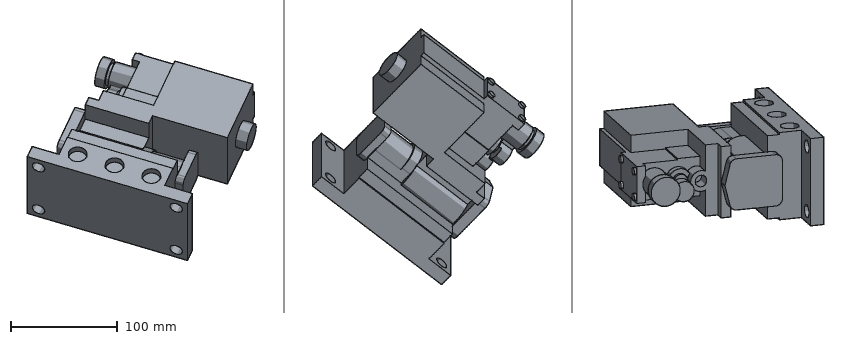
import cadquery as cq


base_length = 160.3
base_width = 86.0
flange_height = 13.0
body_x0 = 27.0
body_x1 = 132.5
body_top = 34.8
step_top = 46.6
step_width = 82.0
mount_hole_diameter = 12.4
mount_hole_inset = 11.3
mount_hole_spacing_z = 63.5
port_diameter = 17.5
port_depth = 6.5
port_pitch = 36.9
port_middle_x = 80.1
port_y = 19.0

valve_x1 = 90.5
spool_radius = 22.0
spool_y = 50.8
web_width = 26.8
saddle_y0 = 82.8
saddle_y1 = 92.3
head_width = 70.2
head_x0 = 36.9
head_top = 104.7

spring_radius = 17.8
collar_x1 = 100.5
collar_axis_y = 59.1
spring_axis_y = 57.2
end_plate_x1 = 140.7
end_plate_y0 = 40.6
end_plate_y1 = 80.7
end_plate_width = 39.5
end_plate_corner = 6.0

cover_x0 = 16.2
cover_y0 = 35.5
cover_shoulder_y = 86.0
cover_width = 50.5
cover_corner = 6.5

coil_x0 = 87.2
coil_x1 = 165.4
coil_y0 = 92.7
coil_y1 = 161.1
strip_top = 165.2
cable_radius = 13.0
cable_x1 = 176.5
pilot_axis_y = 127.0

pilot_x0 = 51.9
pilot_width = 36.2
pilot_top = 169.8
pilot_foot_width = 38.8
lip_x0 = 44.7
screw_radius = 3.5
screw_top = 172.0
screw_xs = (48.5, 86.7)
screw_z = 12.7

knob_y = 150.9
knob_barrel_x0 = 29.0
knob_barrel_radius = 12.9
knob_neck_x0 = 25.8
knob_neck_radius = 11.0
knob_head_radius = 14.3

button_x0 = 31.5
button_x1 = 42.2
button_radius = 9.9
button_y = 127.5
button_z = -6.9
ring_x0 = 45.2
ring_radius = 11.5
stem_radius = 6.9

tube_y = 108.9
tube_radius = 10.2
tube_bore_radius = 5.6

upper_rib_z0 = -8.0
upper_rib_z1 = -0.4
upper_rib_fillet = 1.8
lower_rib_z0 = -7.5
lower_rib_z1 = -0.2


def block(x0, x1, y0, y1, width):
    """Box between the given X and Y limits, centred on Z = 0."""
    return cq.Workplane("XY").box(x1 - x0, y1 - y0, width).translate(((x0 + x1) / 2, (y0 + y1) / 2, 0))


def rod(x0, x1, radius, y, z=0):
    """Cylinder along X between x0 and x1."""
    return cq.Workplane("YZ", origin=(x0, y, z)).circle(radius).extrude(x1 - x0)


def make_base():
    base = block(0, base_length, 0, flange_height, base_width)
    base = base.union(block(body_x0, body_x1, 0, body_top, base_width))
    base = base.union(block(body_x0, body_x1, body_top, step_top, step_width))
    for x in (mount_hole_inset, base_length - mount_hole_inset):
        for z in (-mount_hole_spacing_z / 2, mount_hole_spacing_z / 2):
            hole = cq.Workplane("XZ", origin=(x, 0, z)).circle(mount_hole_diameter / 2).extrude(-flange_height)
            base = base.cut(hole)
    for i in (-1, 0, 1):
        centre = (port_middle_x + i * port_pitch, port_y, base_width / 2)
        base = base.cut(cq.Workplane("XY", origin=centre).circle(port_diameter / 2).extrude(-port_depth))
    return base


def make_valve_body():
    valve = rod(body_x0, valve_x1, spool_radius, spool_y)
    valve = valve.union(block(body_x0, valve_x1, spool_y, saddle_y0, web_width))
    valve = valve.union(block(body_x0, valve_x1, saddle_y0, saddle_y1, head_width))
    return valve.union(block(head_x0, valve_x1, saddle_y1, head_top, head_width))


def round_topped_slab(x0, x1, axis_y):
    slab = block(x0, x1, body_top, axis_y, 2 * spring_radius)
    return slab.union(rod(x0, x1, spring_radius, axis_y))


def make_spring_side():
    spring = round_topped_slab(valve_x1, collar_x1, collar_axis_y)
    spring = spring.union(round_topped_slab(collar_x1, body_x1, spring_axis_y))
    plate = block(body_x1, end_plate_x1, end_plate_y0, end_plate_y1, end_plate_width)
    return spring.union(plate.edges("|X").fillet(end_plate_corner))


def make_cover():
    half = cover_width / 2
    outline = [
        (cover_y0, -half),
        (cover_shoulder_y, -half),
        (saddle_y1, 0),
        (cover_shoulder_y, half),
        (cover_y0, half),
    ]
    cover = cq.Workplane("YZ", origin=(cover_x0, 0, 0)).polyline(outline).close().extrude(body_x0 - cover_x0)
    return cover.edges("|X and (<Z or >Z)").fillet(cover_corner)


def make_coil():
    coil = block(coil_x0, coil_x1, coil_y0, coil_y1, head_width)
    coil = coil.union(block(valve_x1, coil_x1, coil_y1, strip_top, pilot_width))
    return coil.union(rod(coil_x1, cable_x1, cable_radius, pilot_axis_y))


def make_pilot_block():
    pilot = block(pilot_x0, valve_x1, head_top, pilot_top, pilot_width)
    pilot = pilot.union(block(pilot_x0, valve_x1, head_top, pilot_axis_y, pilot_foot_width))
    pilot = pilot.union(block(lip_x0, valve_x1, coil_y1, pilot_top, pilot_width))
    for x in screw_xs:
        for z in (-screw_z, screw_z):
            screw = cq.Workplane("XZ", origin=(x, pilot_top, z)).circle(screw_radius)
            pilot = pilot.union(screw.extrude(pilot_top - screw_top))
    return pilot


def rib(x0, x1, y0, y1, z0, z1):
    """Rectangular bar between the given limits."""
    return block(x0, x1, y0, y1, z1 - z0).translate((0, 0, (z0 + z1) / 2))


def make_upper_rib():
    """Rib between button and knob barrel, with its +Z face blended into both cylinders."""
    joined = rib(button_x0, ring_x0, button_y, knob_y, upper_rib_z0, upper_rib_z1)
    joined = joined.union(rod(button_x0, ring_x0, button_radius, button_y, button_z))
    joined = joined.union(rod(button_x0, ring_x0, knob_barrel_radius, knob_y))
    corner_search_margin = 0.2
    corners = cq.selectors.BoxSelector(
        (button_x0, button_y, upper_rib_z1 - corner_search_margin),
        (ring_x0, knob_y, upper_rib_z1 + corner_search_margin),
    )
    joined = joined.edges("|X").edges(corners).fillet(upper_rib_fillet)
    rib_start_y = button_y + stem_radius
    return joined.intersect(block(button_x0, ring_x0, rib_start_y, knob_y, pilot_width))


def make_controls():
    knob = rod(cover_x0, knob_neck_x0, knob_head_radius, knob_y)
    knob = knob.union(rod(knob_neck_x0, knob_barrel_x0, knob_neck_radius, knob_y))
    knob = knob.union(rod(knob_barrel_x0, pilot_x0, knob_barrel_radius, knob_y))

    button = rod(button_x0, button_x1, button_radius, button_y, button_z)
    button = button.union(rod(button_x1, ring_x0, stem_radius, pilot_axis_y))
    button = button.union(rod(ring_x0, pilot_x0, ring_radius, pilot_axis_y))

    lower_rib = rib(head_x0, button_x1, tube_y, button_y, lower_rib_z0, lower_rib_z1)
    tube = rod(head_x0, pilot_x0, tube_radius, tube_y)
    return knob.union(button).union(make_upper_rib()).union(lower_rib).union(tube)


result = make_base()
for section in (make_valve_body, make_spring_side, make_cover, make_coil, make_pilot_block, make_controls):
    result = result.union(section())

result = result.cut(rod(head_x0, pilot_x0, tube_bore_radius, tube_y))